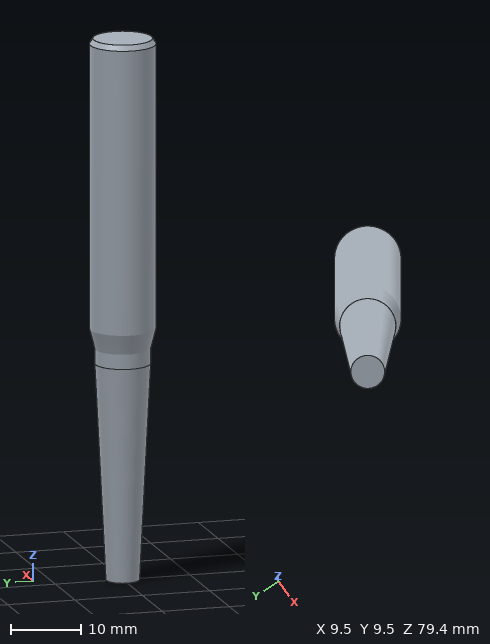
import cadquery as cq

overall_length = 79.4
cutter_length = 31.75
neck_top = 33.9
shank_bottom = 36.85

shank_radius = 9.5 / 2
neck_radius = 8.0 / 2
tip_radius = 4.85 / 2

chamfer_height = 0.8
chamfer_width = 0.5


def revolve_profile(points):
    """Close a half profile of (radius, height) points and turn it about Z."""
    return cq.Workplane("XZ").polyline(points).close().revolve(360, (0, 0), (0, 1))


def make_cutter():
    """Tapered lower end, narrowing from the neck to a flat tip."""
    return revolve_profile([
        (0, 0),
        (tip_radius, 0),
        (neck_radius, cutter_length),
        (0, cutter_length),
    ])


def make_shank():
    """Straight neck, conical shoulder and chamfered shank, resting on the cutter."""
    return revolve_profile([
        (0, cutter_length),
        (neck_radius, cutter_length),
        (neck_radius, neck_top),
        (shank_radius, shank_bottom),
        (shank_radius, overall_length - chamfer_height),
        (shank_radius - chamfer_width, overall_length),
        (0, overall_length),
    ])


cutter = make_cutter()
shank = make_shank()

result = cq.Compound.makeCompound([cutter.val(), shank.val()])